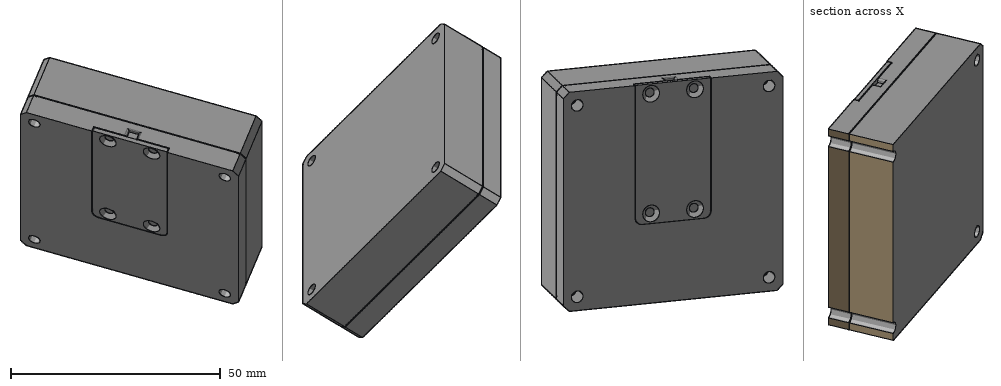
import cadquery as cq

side = 55.0
depth = 17.0
corner_chamfer = 1.5
front_thickness = 5.3
gasket_thickness = 0.2
gasket_corner_chamfer = 2.4
rear_thickness = depth - front_thickness - gasket_thickness
front_y = -depth / 2
gasket_y = front_y + front_thickness
top_z = side / 2

bolt_hole_diameter = 2.85
bolt_hole_spacing = 48.0

recess_width = 19.1
recess_height = 35.05
recess_depth = 1.4
recess_corner_radius = 1.8
side_gap = 0.15
back_gap = 0.2
cover_inset = 0.1
cover_width = recess_width - 2 * side_gap
cover_thickness = recess_depth - back_gap - cover_inset
cover_corner_radius = recess_corner_radius - side_gap

screw_hole_diameter = 2.2
countersink_diameter = 4.2
countersink_angle = 90.0
screw_spacing_x = 11.0
screw_spacing_z = 30.05
top_screw_edge_distance = 2.5

notch_width = 2.5
notch_reach = 1.9
notch_depth = 0.95
notch_side_radius = 0.5
notch_back_radius = 0.2


def front_plane(y):
    """Sketch plane at the given Y, looking toward -Y: local x is +X, local y is +Z."""
    return cq.Workplane("XZ", origin=(0, y, 0))


def square_block(near_y, thickness, chamfer):
    """Square block with chamfered corners and four bolt holes, extending toward +Y."""
    return (
        front_plane(near_y)
        .rect(side, side)
        .extrude(-thickness)
        .edges("|Y")
        .chamfer(chamfer)
        .cut(
            front_plane(near_y)
            .rect(bolt_hole_spacing, bolt_hole_spacing, forConstruction=True)
            .vertices()
            .circle(bolt_hole_diameter / 2)
            .extrude(-thickness)
        )
    )


def cover_shape(near_y, width, thickness, corner_radius):
    """Plate hanging down from the top edge, with its two lower corners rounded."""
    return (
        front_plane(near_y)
        .center(0, top_z - recess_height / 2)
        .rect(width, recess_height)
        .extrude(-thickness)
        .edges("|Y and <Z")
        .fillet(corner_radius)
    )


def round_top_edge(body, midpoint, radius):
    """Round the edge of the top face that lies nearest to the given (x, y)."""
    nearest = cq.selectors.NearestToPointSelector((*midpoint, top_z))
    return body.faces(">Z").edges(nearest).fillet(radius)


def make_rear_housing():
    return square_block(gasket_y + gasket_thickness, rear_thickness, corner_chamfer)


def make_gasket():
    return square_block(gasket_y, gasket_thickness, gasket_corner_chamfer)


def make_front_housing():
    recess = cover_shape(front_y, recess_width, recess_depth, recess_corner_radius)
    notch = (
        cq.Workplane("XY", origin=(0, front_y, top_z))
        .rect(notch_width, 2 * (recess_depth + notch_reach))
        .extrude(-notch_depth)
    )
    body = square_block(front_y, front_thickness, corner_chamfer).cut(recess).cut(notch)
    notch_back_y = front_y + recess_depth + notch_reach
    for x in (-notch_width / 2, notch_width / 2):
        body = round_top_edge(body, (x, notch_back_y - notch_reach / 2), notch_side_radius)
    return round_top_edge(body, (0, notch_back_y), notch_back_radius)


def make_cover_plate():
    plate_front_y = front_y + cover_inset
    plate = cover_shape(plate_front_y, cover_width, cover_thickness, cover_corner_radius)
    screw_centre_z = top_z - top_screw_edge_distance - screw_spacing_z / 2
    return (
        plate.faces("<Y")
        .workplane(origin=(0, plate_front_y, screw_centre_z))
        .rect(screw_spacing_x, screw_spacing_z, forConstruction=True)
        .vertices()
        .cskHole(screw_hole_diameter, countersink_diameter, countersink_angle)
    )


rear_housing = make_rear_housing()
gasket = make_gasket()
front_housing = make_front_housing()
cover_plate = make_cover_plate()

result = cq.Compound.makeCompound([
    rear_housing.val(),
    gasket.val(),
    front_housing.val(),
    cover_plate.val(),
])